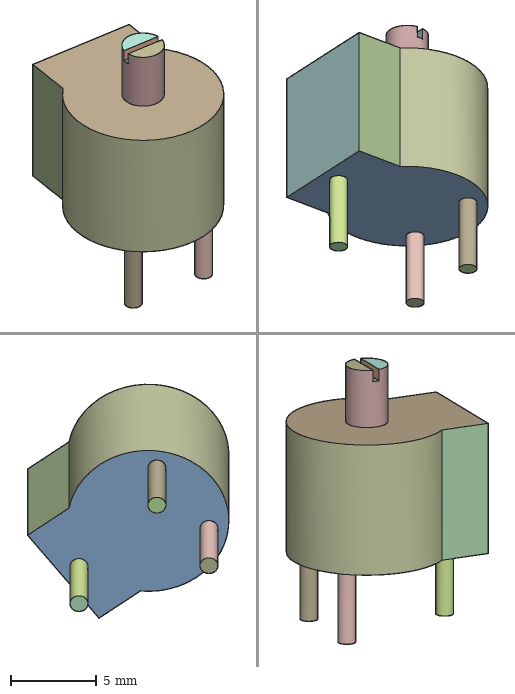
import cadquery as cq

drum_diameter = 9.47
block_reach = 6.24
block_width = 6.98
housing_height = 8.0

shaft_diameter = 2.5
shaft_height = 3.5
slot_width = 0.4
slot_depth = 0.7

pin_diameter = 1.05
pin_length = 4.5
pin_pitch = 2.55
pin_positions = [
    (-2 * pin_pitch, 0),
    (pin_pitch, -pin_pitch),
    (pin_pitch, pin_pitch),
]


def make_housing():
    """Drum and block as one solid, standing on Z = 0."""
    drum = cq.Workplane("XY").circle(drum_diameter / 2).extrude(housing_height)
    block = (
        cq.Workplane("XY")
        .center(-block_reach / 2, 0)
        .rect(block_reach, block_width)
        .extrude(housing_height)
    )
    return drum.union(block)


def make_shaft():
    """Shaft standing on the housing, slotted along Y across its top."""
    shaft_top = housing_height + shaft_height
    shaft = (
        cq.Workplane("XY")
        .workplane(offset=housing_height)
        .circle(shaft_diameter / 2)
        .extrude(shaft_height)
    )
    slot = (
        cq.Workplane("XY")
        .workplane(offset=shaft_top)
        .rect(slot_width, shaft_diameter)
        .extrude(-slot_depth)
    )
    return shaft.cut(slot)


def make_pin(x, y):
    """Round pin hanging from the underside of the housing."""
    return cq.Workplane("XY").center(x, y).circle(pin_diameter / 2).extrude(-pin_length)


housing = make_housing()
shaft = make_shaft()
pins = [make_pin(x, y).val() for x, y in pin_positions]

result = cq.Compound.makeCompound([housing.val(), shaft.val(), *pins])